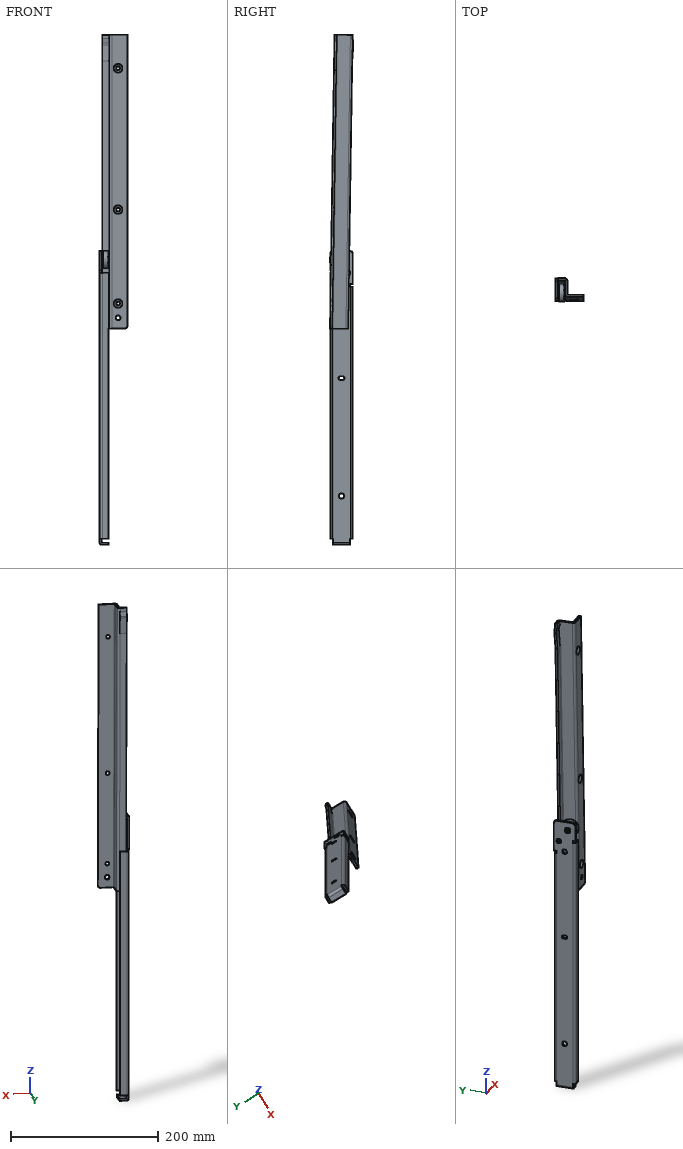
import cadquery as cq
import math

OVERALL_LENGTH = 694.0
RAIL_LENGTH = 400.0
SHEET = 3.25

OUTER_X = -19.1
OUTER_WIDTH = 31.0
OUTER_DEPTH = 12.5
OUTER_BEND = 3.8
OUTER_BOTTOM = -OVERALL_LENGTH / 2
OUTER_TOP = OUTER_BOTTOM + RAIL_LENGTH
LIP_CLEARANCE = 8.0
LIP_BOTTOM = OUTER_BOTTOM + LIP_CLEARANCE
FRONT_LIP_TOP = 23.0
REAR_LIP_TOP = 4.0
RELIEF = 3.5
HEAD_CORNER = 4.0
SCREW_HOLE = 7.0
SCREW_HOLE_Z = (8.0, -280.5)
SLOT_LENGTH = 7.5
SLOT_HEIGHT = 5.0
SLOT_Z = -120.0

ROLLER_RADIUS = 12.0
ROLLER_X = -14.2
ROLLER_WIDTH = 7.0
ROLLER_Y = -4.5
ROLLER_Z = OUTER_TOP - ROLLER_RADIUS
AXLE_DIAMETER = 8.0
STOP_PIN_DIAMETER = 7.0
STOP_PIN_Y = 8.0
STOP_PIN_Z = 23.0
RIVET_RECESS_RATIO = 0.5
RIVET_RECESS_DEPTH = 1.5

TILT = 0.88
INNER_LEFT = -15.6
INNER_WEB_X = -5.9
INNER_RIGHT = 19.1
INNER_HEIGHT = 25.0
INNER_TOP_Y = 15.0
INNER_BEND = 3.5
BEND_INSIDE = 1.0
FLANGE_CORNER = 3.5
BUMP_HEIGHT = 1.2
BUMP_STATIONS = (35.5, 13.0, 11.0, 5.0)
FLANGE_HOLE_X = 6.0
FLANGE_SCREWS = (46.0, 238.0, 366.0)
SCREW_HEAD = 12.0
SCREW_SHANK = 5.0
PILOT_HOLE = 6.0
PILOT_STATION = 385.0


def block(x0, x1, y0, y1, z0, z1):
    """Axis-aligned box between two corners."""
    return cq.Workplane("XY").box(x1 - x0, y1 - y0, z1 - z0, centered=False).translate((x0, y0, z0))


def rod_x(diameter, x0, x1, y, z):
    """Cylinder along X from x0 to x1."""
    return cq.Workplane("YZ", origin=(x0, y, z)).circle(diameter / 2).extrude(x1 - x0)


def outer_shell(length, offset):
    """Solid bar with the outline of the channel, its web and lip faces moved inwards by offset."""
    half = OUTER_WIDTH / 2 - offset
    shell = block(OUTER_X + offset, OUTER_X + OUTER_DEPTH, -half, half, 0, length)
    return shell.edges("|Z and <X").fillet(OUTER_BEND - offset)


def make_cabinet_rail():
    half = OUTER_WIDTH / 2
    inner_x = OUTER_X + SHEET
    right = OUTER_X + OUTER_DEPTH
    flat_half = half - OUTER_BEND

    channel = outer_shell(OVERALL_LENGTH, 0).cut(outer_shell(OVERALL_LENGTH, SHEET))
    channel = channel.translate((0, 0, OUTER_BOTTOM))
    front_part = channel.intersect(block(OUTER_X, right, -half, -flat_half, LIP_BOTTOM, FRONT_LIP_TOP))
    rear_part = channel.intersect(block(OUTER_X, right, flat_half, half, LIP_BOTTOM, REAR_LIP_TOP))

    web = block(OUTER_X, inner_x, -flat_half, flat_half, OUTER_BOTTOM + OUTER_BEND, OUTER_TOP)
    front_head = block(OUTER_X, inner_x, -half, 0, FRONT_LIP_TOP + RELIEF, OUTER_TOP)
    rear_head = block(OUTER_X, inner_x, 0, half, REAR_LIP_TOP + RELIEF, OUTER_TOP)
    head = front_head.union(rear_head).edges("|X and >Z").edges("<Y or >Y").fillet(HEAD_CORNER)

    tab = block(OUTER_X, right, -flat_half, flat_half, OUTER_BOTTOM, LIP_BOTTOM)
    tab = tab.edges("|Y and <X and <Z").fillet(OUTER_BEND)
    tab_hollow = block(inner_x, right, -flat_half, flat_half, OUTER_BOTTOM + SHEET, LIP_BOTTOM)
    tab = tab.cut(tab_hollow.edges("|Y and <X and <Z").fillet(OUTER_BEND - SHEET))

    rail = web.union(head).union(tab).union(front_part).union(rear_part)
    for z in SCREW_HOLE_Z:
        rail = rail.cut(rod_x(SCREW_HOLE, OUTER_X, inner_x, 0, z))
    slot = cq.Workplane("YZ", origin=(OUTER_X, 0, SLOT_Z)).slot2D(SLOT_LENGTH, SLOT_HEIGHT).extrude(SHEET)
    rail = rail.cut(slot)
    rail = rail.cut(rod_x(AXLE_DIAMETER, OUTER_X, inner_x, ROLLER_Y, ROLLER_Z))
    return rail.cut(rod_x(STOP_PIN_DIAMETER, OUTER_X, inner_x, STOP_PIN_Y, STOP_PIN_Z))


def make_roller():
    roller = rod_x(2 * ROLLER_RADIUS, ROLLER_X, ROLLER_X + ROLLER_WIDTH, ROLLER_Y, ROLLER_Z)
    return roller.cut(rod_x(AXLE_DIAMETER, ROLLER_X, ROLLER_X + ROLLER_WIDTH, ROLLER_Y, ROLLER_Z))


def make_rivet(diameter, x_end, y, z):
    """Hollow-ended rivet flush with the outer face of the cabinet rail."""
    rivet = rod_x(diameter, OUTER_X, x_end, y, z)
    return rivet.cut(rod_x(diameter * RIVET_RECESS_RATIO, OUTER_X, OUTER_X + RIVET_RECESS_DEPTH, y, z))


def lip_bump():
    """Strip of the drawer rail lip raised into a ramp that ends in a steep step."""
    ramp_start, crest_start, crest_end, step_end = BUMP_STATIONS
    points = [
        (-SHEET, -ramp_start),
        (BUMP_HEIGHT - SHEET, -crest_start),
        (BUMP_HEIGHT - SHEET, -crest_end),
        (-SHEET, -step_end),
        (0, -step_end),
        (BUMP_HEIGHT, -crest_end),
        (BUMP_HEIGHT, -crest_start),
        (0, -ramp_start),
    ]
    strip = cq.Workplane("YZ", origin=(INNER_LEFT, 0, 0)).polyline(points).close()
    return strip.extrude(INNER_WEB_X - INNER_LEFT)


def bent_pair(x0, x1, y0, y1, hollow, bend_edge):
    """Two walls at right angles: a full-length bar less a hollow, both rounded along the bend."""
    bar = block(x0, x1, y0, y1, -RAIL_LENGTH, 0).edges(bend_edge).fillet(INNER_BEND)
    room = block(*hollow, -RAIL_LENGTH, 0).edges(bend_edge).fillet(BEND_INSIDE)
    return bar.cut(room)


def make_drawer_rail():
    """Drawer rail built with its upper end at Z = 0 and lip face at Y = 0, then tilted into place."""
    web_back = INNER_WEB_X + SHEET
    middle_y = -INNER_HEIGHT / 2
    flange_y = -INNER_HEIGHT

    lip_hollow = (INNER_LEFT, INNER_WEB_X, middle_y, -SHEET)
    lip_half = bent_pair(INNER_LEFT, web_back, middle_y, 0, lip_hollow, "|Z and >X and >Y")
    flange_hollow = (web_back, INNER_RIGHT, flange_y + SHEET, middle_y)
    flange_half = bent_pair(INNER_WEB_X, INNER_RIGHT, flange_y, middle_y, flange_hollow, "|Z and <X and <Y")
    flange_half = flange_half.edges("|Y and >X and <Z").fillet(FLANGE_CORNER)
    rail = lip_half.union(flange_half)

    ramp_start = BUMP_STATIONS[0]
    step_end = BUMP_STATIONS[-1]
    rail = rail.cut(block(INNER_LEFT, INNER_WEB_X, -SHEET - BEND_INSIDE, 0, -ramp_start, -step_end))
    rail = rail.union(lip_bump())

    for station in FLANGE_SCREWS:
        face = cq.Workplane("XZ", origin=(FLANGE_HOLE_X, flange_y, -station))
        countersink = face.circle(SCREW_HEAD / 2).workplane(offset=-SHEET).circle(SCREW_SHANK / 2).loft()
        rail = rail.cut(countersink)
    pilot = cq.Workplane("XZ", origin=(FLANGE_HOLE_X, flange_y, -PILOT_STATION))
    rail = rail.cut(pilot.circle(PILOT_HOLE / 2).extrude(-SHEET))

    tilt_lift = INNER_HEIGHT * math.sin(math.radians(TILT))
    rail = rail.rotate((0, 0, 0), (1, 0, 0), -TILT)
    return rail.translate((0, INNER_TOP_Y, OVERALL_LENGTH / 2 - tilt_lift))


cabinet_rail = make_cabinet_rail()
drawer_rail = make_drawer_rail()
roller = make_roller()
axle = make_rivet(AXLE_DIAMETER, ROLLER_X + ROLLER_WIDTH, ROLLER_Y, ROLLER_Z)
stop_pin = make_rivet(STOP_PIN_DIAMETER, OUTER_X + SHEET, STOP_PIN_Y, STOP_PIN_Z)

result = cq.Compound.makeCompound(
    [cabinet_rail.val(), drawer_rail.val(), roller.val(), axle.val(), stop_pin.val()]
)